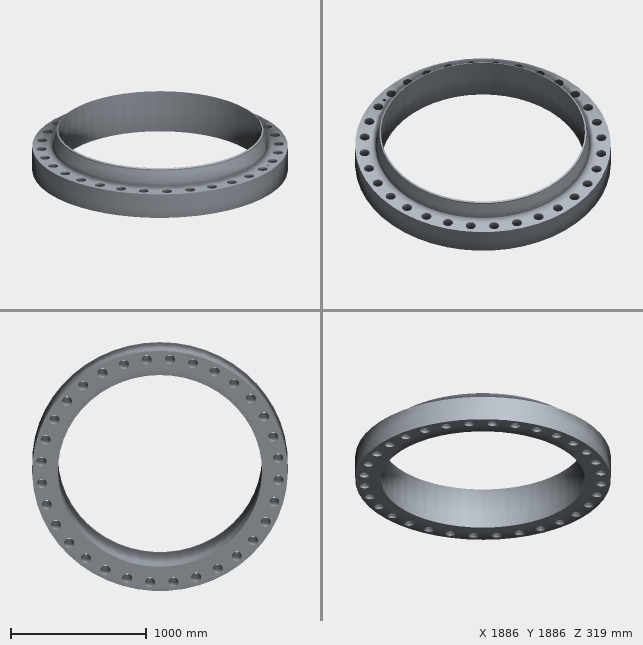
import cadquery as cq
import math

outer_radius = 943.0
total_height = 319.0
bore_radius = 752.0

flange_height = 187.0

hub_base_radius = 792.0
hub_base_fillet = 5.0
collar_radius = 764.0
rim_land = 2.0
bevel_height = 5.0
collar_height = 10.0
rim_radius = bore_radius + rim_land
collar_top = total_height - bevel_height
collar_base = collar_top - collar_height

bolt_count = 32
bolt_circle_radius = 877.0
bolt_hole_diameter = 74.0
bolt_pitch_angle = 360 / bolt_count

small_hole_radius = 13.0
small_hole_depth = 38.0
drill_point_angle = 118
drill_point_depth = small_hole_radius / math.tan(math.radians(drill_point_angle / 2))
small_hole_angle = bolt_pitch_angle / 2


def flange_and_hub():
    """Revolve the flange and hub section, then round the foot of the hub."""
    section = (
        cq.Workplane("XZ")
        .moveTo(bore_radius, 0)
        .lineTo(outer_radius, 0)
        .lineTo(outer_radius, flange_height)
        .lineTo(hub_base_radius, flange_height)
        .lineTo(collar_radius, collar_base)
        .lineTo(collar_radius, collar_top)
        .lineTo(rim_radius, total_height)
        .lineTo(bore_radius, total_height)
        .close()
    )
    ring = section.revolve(360, (0, 0, 0), (0, 1, 0))
    foot = cq.selectors.RadiusNthSelector(-2)
    return ring.edges("%CIRCLE").edges(foot).fillet(hub_base_fillet)


def bolt_holes():
    """Through holes on the bolt circle."""
    return (
        cq.Workplane("XY")
        .polarArray(bolt_circle_radius, 0, 360, bolt_count)
        .circle(bolt_hole_diameter / 2)
        .extrude(flange_height)
    )


def small_hole():
    """Drilled blind hole sunk into the flange on the bolt circle."""
    drill = (
        cq.Workplane("XZ")
        .moveTo(0, flange_height)
        .lineTo(small_hole_radius, flange_height)
        .lineTo(small_hole_radius, flange_height - small_hole_depth)
        .lineTo(0, flange_height - small_hole_depth - drill_point_depth)
        .close()
        .revolve(360, (0, 0, 0), (0, 1, 0))
    )
    return drill.translate((bolt_circle_radius, 0, 0)).rotate((0, 0, 0), (0, 0, 1), small_hole_angle)


result = flange_and_hub().cut(bolt_holes()).cut(small_hole())